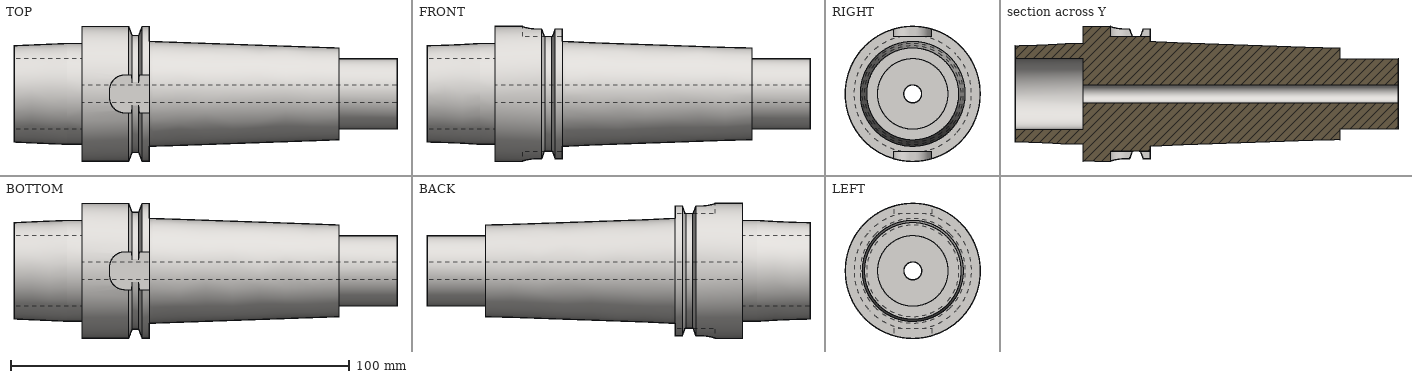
import cadquery as cq

total_length = 113.3
taper_end = 15.7
collar_start = 20.0
collar_end = 40.0
neck_land_end = 41.0
neck_end = 96.1

taper_small_radius = 14.3
taper_large_radius = 15.0
collar_radius = 20.0
neck_large_radius = 15.5
neck_small_radius = 13.6
shank_radius = 10.4

groove_floor_start = 34.9
groove_floor_end = 36.8
groove_flank_width = 1.0
groove_floor_radius = 17.3

slot_start = 28.2
slot_width = 11.2
slot_floor_height = 17.0
slot_corner_radius = 4.5

bore_radius = 10.4
bore_depth = collar_start
through_hole_radius = 2.6


def turned_body():
    """Solid of revolution about X, with the gripper groove in its outline."""
    outline = [
        (0, 0),
        (0, taper_small_radius),
        (taper_end, taper_large_radius),
        (collar_start, taper_large_radius),
        (collar_start, collar_radius),
        (groove_floor_start - groove_flank_width, collar_radius),
        (groove_floor_start, groove_floor_radius),
        (groove_floor_end, groove_floor_radius),
        (groove_floor_end + groove_flank_width, collar_radius),
        (collar_end, collar_radius),
        (collar_end, neck_large_radius),
        (neck_land_end, neck_large_radius),
        (neck_end, neck_small_radius),
        (neck_end, shank_radius),
        (total_length, shank_radius),
        (total_length, 0),
    ]
    return cq.Workplane("XY").polyline(outline).close().revolve(360, (0, 0, 0), (1, 0, 0))


def key_slot():
    """Cutter for the upper slot: rounded inner corners, open at the neck side."""
    slot_length = collar_end - slot_start
    return (
        cq.Workplane("XY")
        .box(slot_length, slot_width, collar_radius - slot_floor_height, centered=(False, True, False))
        .edges("|Z and <X")
        .fillet(slot_corner_radius)
        .translate((slot_start, 0, slot_floor_height))
    )


def axial_hole(radius, depth):
    """Round cutter running along X from the open end."""
    return cq.Workplane("YZ").circle(radius).extrude(depth)


upper_slot = key_slot()
lower_slot = upper_slot.mirror("XY")

result = (
    turned_body()
    .cut(upper_slot)
    .cut(lower_slot)
    .cut(axial_hole(bore_radius, bore_depth))
    .cut(axial_hole(through_hole_radius, total_length))
)